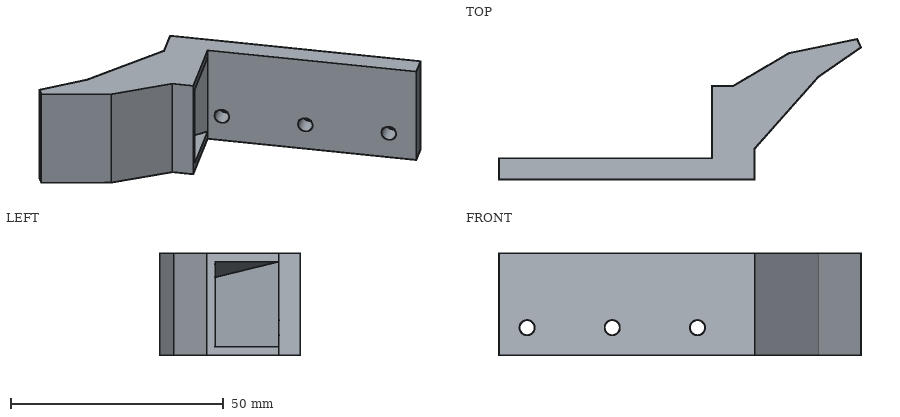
import cadquery as cq
import math

plate_length = 60.0
plate_thickness = 5.0
height = 24.0

block_start_x = 50.0
block_top_y = 22.0
finger_root_top_x = 55.0
finger_root_bottom_y = 7.2
upper_bend = (68.1, 29.7)
lower_bend = (75.0, 24.1)
tip_upper = (84.1, 33.0)
tip_lower = (85.0, 31.0)

hole_diameter = 3.5
hole_count = 3
hole_pitch = 20.0
first_hole_x = 6.6
hole_z = 6.5

pocket_wall = 2.0
pocket_top_y = block_top_y - pocket_wall
pocket_flat_length = 2.5
pocket_tip = (77.0, 29.0)
pocket_ceiling_angle = 12.3


def make_body():
    """Plate, block and finger as one outline in the XY plane, raised to the full height."""
    return (
        cq.Workplane("XY")
        .moveTo(0, 0)
        .lineTo(plate_length, 0)
        .lineTo(plate_length, finger_root_bottom_y)
        .lineTo(*lower_bend)
        .lineTo(*tip_lower)
        .lineTo(*tip_upper)
        .lineTo(*upper_bend)
        .lineTo(finger_root_top_x, block_top_y)
        .lineTo(block_start_x, block_top_y)
        .lineTo(block_start_x, plate_thickness)
        .lineTo(0, plate_thickness)
        .close()
        .extrude(height)
    )


def make_pocket():
    """Wedge-shaped pocket with a level floor and a ceiling that falls towards its tip."""
    tip_x, tip_y = pocket_tip
    plan = (
        cq.Workplane("XY")
        .moveTo(block_start_x, plate_thickness)
        .lineTo(tip_x, tip_y)
        .lineTo(block_start_x + pocket_flat_length, pocket_top_y)
        .lineTo(block_start_x, pocket_top_y)
        .close()
        .extrude(height)
    )

    mouth_ceiling_z = height - pocket_wall
    ceiling_drop = (tip_x - block_start_x) * math.tan(math.radians(pocket_ceiling_angle))
    side_profile = (
        cq.Workplane("XZ")
        .moveTo(block_start_x, pocket_wall)
        .lineTo(tip_x, pocket_wall)
        .lineTo(tip_x, mouth_ceiling_z - ceiling_drop)
        .lineTo(block_start_x, mouth_ceiling_z)
        .close()
        .extrude(-tip_y)
    )
    return plan.intersect(side_profile)


def make_holes():
    """Evenly spaced cylinders running through the plate thickness."""
    centres = [(first_hole_x + i * hole_pitch, hole_z) for i in range(hole_count)]
    return (
        cq.Workplane("XZ")
        .pushPoints(centres)
        .circle(hole_diameter / 2)
        .extrude(-plate_thickness)
    )


result = make_body().cut(make_pocket()).cut(make_holes())